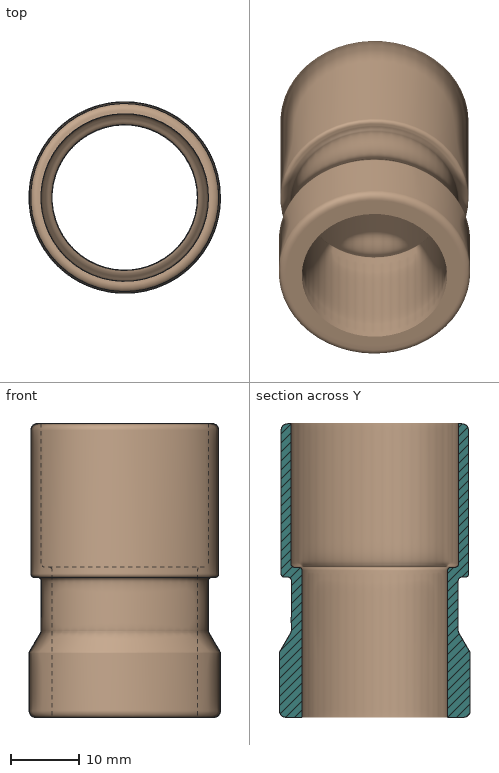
import cadquery as cq

total_height = 43.0
base_radius = 14.0
barrel_radius = 13.75
neck_radius = 12.25

cone_bottom_z = 9.5
cone_top_z = 12.5
lip_z = 20.5

socket_radius = neck_radius
bore_radius = 10.625
socket_wall = 1.5
socket_floor_z = lip_z + socket_wall

end_fillet = 1.0
step_fillet = 0.5


def revolved(profile_points):
    """Solid of revolution about Z from (radius, z) points."""
    return cq.Workplane("XZ").polyline(profile_points).close().revolve(360, (0, 0, 0), (0, 1, 0))


def edges_at(body, radius, z):
    """Circular edges of the body with the given radius and height."""
    tolerance = 0.01

    def matches(edge):
        on_height = abs(edge.Center().z - z) < tolerance
        return edge.geomType() == "CIRCLE" and on_height and abs(edge.radius() - radius) < tolerance

    return body.newObject([edge for edge in body.edges().vals() if matches(edge)])


def stepped_sleeve():
    """Sharp-edged wall section swept around the axis."""
    return revolved([
        (bore_radius, 0),
        (base_radius, 0),
        (base_radius, cone_bottom_z),
        (neck_radius, cone_top_z),
        (neck_radius, lip_z),
        (barrel_radius, lip_z),
        (barrel_radius, total_height),
        (socket_radius, total_height),
        (socket_radius, socket_floor_z),
        (bore_radius, socket_floor_z),
    ])


def rounded(body):
    """Fillet the outer end edges and every step edge."""
    roundings = [
        (base_radius, 0, end_fillet),
        (barrel_radius, total_height, end_fillet),
        (base_radius, cone_bottom_z, step_fillet),
        (neck_radius, cone_top_z, step_fillet),
        (neck_radius, lip_z, step_fillet),
        (barrel_radius, lip_z, step_fillet),
        (socket_radius, socket_floor_z, step_fillet),
        (bore_radius, socket_floor_z, step_fillet),
    ]
    for radius, z, fillet in roundings:
        body = edges_at(body, radius, z).fillet(fillet)
    return body


result = rounded(stepped_sleeve())